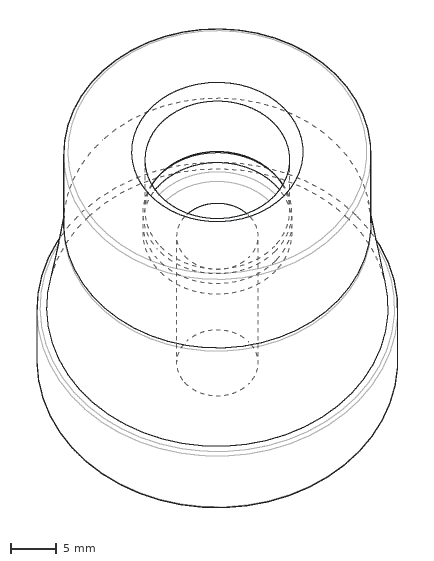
import cadquery as cq

total_height = 40.0
joint_height = 26.5
body_radius = 34.0 / 2

rim_fillet = 0.5
bore_radius = 16.0 / 2
bore_mouth_chamfer = 1.5
bore_height = 28.95
flare_height = 0.55

collar_height = 0.6
skirt_radius = 18.9
flange_radius = 19.95
flange_height = 10.5
flange_top_fillet = 0.35
flange_bottom_fillet = 0.5
recess_radius = 16.5 / 2
recess_floor_height = 24.0
recess_floor_fillet = 0.75
through_hole_radius = 9.0 / 2


def revolve_about_z(profile):
    """Revolve a closed radius-height profile around the Z axis."""
    return profile.close().revolve(360, (0, 0, 0), (0, 1, 0))


def fillet_circle(body, radius, height, fillet_radius):
    """Round the circular edge that has the given radius and height."""
    tolerance = 4e-05

    def matches(edge):
        return (
            abs(edge.radius() - radius) < tolerance
            and abs(edge.Center().z - height) < tolerance
        )

    return body.edges("%CIRCLE").filter(matches).fillet(fillet_radius)


def make_cap():
    """Sleeve with a chamfered bore that flares at its lower end."""
    profile = (
        cq.Workplane("XZ")
        .moveTo(recess_radius, joint_height)
        .lineTo(body_radius, joint_height)
        .lineTo(body_radius, total_height)
        .lineTo(bore_radius + bore_mouth_chamfer, total_height)
        .lineTo(bore_radius, total_height - bore_mouth_chamfer)
        .lineTo(bore_radius, bore_height)
        .lineTo(recess_radius, bore_height - flare_height)
    )
    sleeve = revolve_about_z(profile)
    return fillet_circle(sleeve, body_radius, total_height, rim_fillet)


def make_base():
    """Tapered foot with a flange, a recess in its top and a through hole."""
    skirt_top = joint_height - collar_height
    profile = (
        cq.Workplane("XZ")
        .moveTo(through_hole_radius, 0)
        .lineTo(flange_radius, 0)
        .lineTo(flange_radius, flange_height)
        .lineTo(skirt_radius, flange_height)
        .lineTo(body_radius, skirt_top)
        .lineTo(body_radius, joint_height)
        .lineTo(recess_radius, joint_height)
        .lineTo(recess_radius, recess_floor_height)
        .lineTo(through_hole_radius, recess_floor_height)
    )
    foot = revolve_about_z(profile)
    foot = fillet_circle(foot, flange_radius, flange_height, flange_top_fillet)
    foot = fillet_circle(foot, flange_radius, 0, flange_bottom_fillet)
    return fillet_circle(foot, recess_radius, recess_floor_height, recess_floor_fillet)


cap = make_cap()
base = make_base()
result = cq.Compound.makeCompound([cap.val(), base.val()])